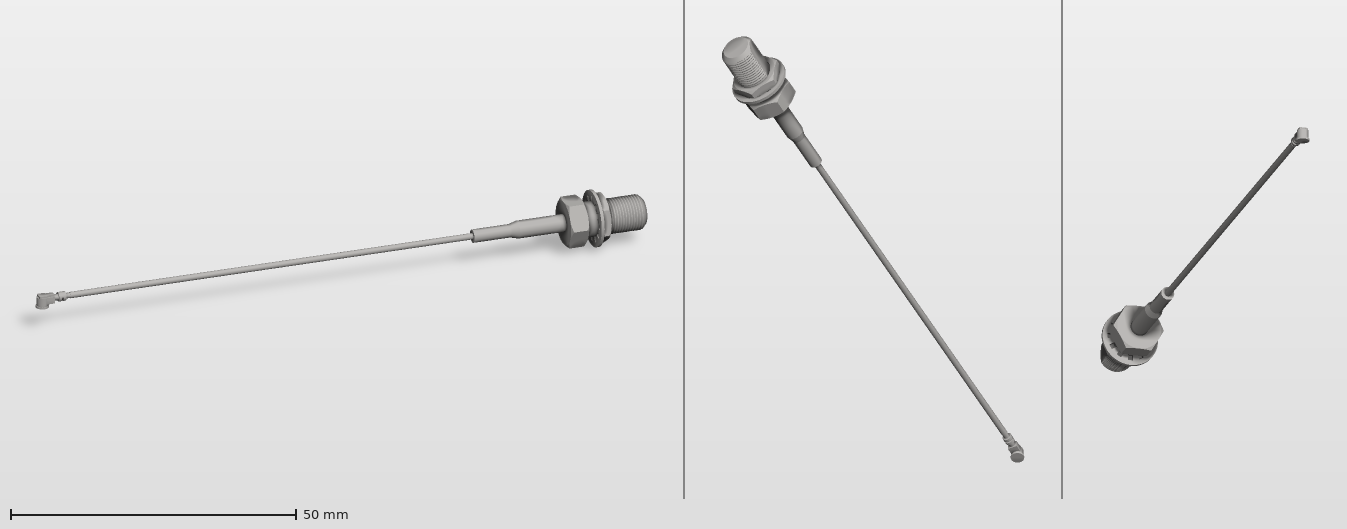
import cadquery as cq
import math

TOTAL_LENGTH = 113.2
FRONT_Y = TOTAL_LENGTH / 2
REAR_Y = -TOTAL_LENGTH / 2

THREAD_MAJOR_D = 6.3
THREAD_MINOR_D = 6.0
THREAD_PITCH = 0.51
THREAD_COUNT = 18
CREST_WIDTH = THREAD_PITCH / 4
NOSE_CHAMFER = 0.8
FLAT_OFFSET = 2.6
BARREL_LENGTH = 11.4
HEX_ACROSS_FLATS = 8.0
HEX_ACROSS_CORNERS = HEX_ACROSS_FLATS / math.cos(math.pi / 6)
HEX_CHAMFER_ANGLE = 30.0
SHOULDER_LENGTH = 3.4

NUT_SETBACK = 7.2
NUT_THICKNESS = 1.7
NUT_ANGLE = 38.0
WASHER_D = 10.2
WASHER_THICKNESS = 0.6
WASHER_SLOTS = 12
WASHER_SLOT_WIDTH = 0.9
WASHER_SLOT_ROOT_D = 8.4

FERRULE_D = 3.2
FERRULE_LENGTH = 8.6
TAPER_LENGTH = 1.5
SLEEVE_D = 2.4
SLEEVE_LENGTH = 6.9
JACKET_D = 1.1
CORE_D = 1.0
JACKET_END_SETBACK = 6.3

LIP_D = 2.4
LIP_HEIGHT = 0.3
SOCKET_D = 2.0
PLUG_TOP_Z = 0.8
PLUG_BOTTOM_Z = -1.5
COVER_WIDTH = 1.6
COVER_LENGTH = 1.5
COVER_THICKNESS = 0.3
COVER_STRIP_WIDTH = 1.0
NECK_WIDTH = 1.7
NECK_BOTTOM_Z = -0.8
NECK_SETBACK = 3.3
BRIDGE_D = 1.1
CRIMP_D = 1.7
CRIMP_LENGTH = 1.4
CRIMP_SETBACK = 5.4
CRIMP_SLOT_WIDTH = 0.3
CRIMP_SLOT_TOP_Z = 0.1

BARREL_END_Y = FRONT_Y - BARREL_LENGTH
SHOULDER_END_Y = BARREL_END_Y - SHOULDER_LENGTH
NUT_Y = FRONT_Y - NUT_SETBACK
WASHER_Y = NUT_Y - NUT_THICKNESS
WASHER_END_Y = WASHER_Y - WASHER_THICKNESS
FERRULE_END_Y = SHOULDER_END_Y - FERRULE_LENGTH
SLEEVE_Y = FERRULE_END_Y - TAPER_LENGTH
SLEEVE_END_Y = SLEEVE_Y - SLEEVE_LENGTH
JACKET_END_Y = REAR_Y + JACKET_END_SETBACK
CRIMP_Y = REAR_Y + CRIMP_SETBACK
CRIMP_END_Y = CRIMP_Y - CRIMP_LENGTH
NECK_Y = REAR_Y + NECK_SETBACK
PLUG_Y = REAR_Y + LIP_D / 2


def rod(diameter, y_start, y_end):
    """Cylinder on the Y axis from y_start down to y_end."""
    return (cq.Workplane("XZ", origin=(0, y_start, 0))
            .circle(diameter / 2).extrude(y_start - y_end))


def turned(outline):
    """Solid of revolution about the Y axis from a closed outline of (radius, y) points."""
    return cq.Workplane("XY").polyline(outline).close().revolve(360, (0, 0), (0, 1))


def block(width, y_start, y_end, z_bottom, z_top):
    """Box centred on X = 0, from y_start down to y_end."""
    return cq.Workplane("XY").box(width, y_start - y_end, z_top - z_bottom).translate(
        (0, (y_start + y_end) / 2, (z_bottom + z_top) / 2))


def disc(diameter, z_bottom, z_top):
    """Cylinder standing along Z on the plug axis."""
    return (cq.Workplane("XY", origin=(0, PLUG_Y, z_bottom))
            .circle(diameter / 2).extrude(z_top - z_bottom))


def hex_block(y_start, length, corner_angle):
    """Hexagonal prism whose corners are turned off conically at both ends."""
    prism = (cq.Workplane("XZ", origin=(0, y_start, 0))
             .transformed(rotate=(0, 0, corner_angle))
             .polygon(6, HEX_ACROSS_CORNERS).extrude(length))
    face_r = HEX_ACROSS_FLATS / 2
    corner_r = HEX_ACROSS_CORNERS / 2
    drop = (corner_r - face_r) * math.tan(math.radians(HEX_CHAMFER_ANGLE))
    y_end = y_start - length
    blank = turned([(0, y_end), (face_r, y_end), (corner_r, y_end + drop),
                    (corner_r, y_start - drop), (face_r, y_start), (0, y_start)])
    return prism.intersect(blank)


def make_barrel():
    """Barrel with V-shaped thread grooves, a chamfered nose and a flat along its -X side."""
    major_r = THREAD_MAJOR_D / 2
    minor_r = THREAD_MINOR_D / 2
    outline = [(0, FRONT_Y), (major_r, FRONT_Y)]
    for groove in range(THREAD_COUNT):
        crest_y = FRONT_Y - groove * THREAD_PITCH
        outline.append((major_r, crest_y - CREST_WIDTH))
        outline.append((minor_r, crest_y - (THREAD_PITCH + CREST_WIDTH) / 2))
        outline.append((major_r, crest_y - THREAD_PITCH))
    outline += [(major_r, BARREL_END_Y), (0, BARREL_END_Y)]
    nose = rod(THREAD_MAJOR_D, FRONT_Y, BARREL_END_Y).faces(">Y").chamfer(NOSE_CHAMFER)
    flatted = cq.Workplane("XY").box(THREAD_MAJOR_D, BARREL_LENGTH, THREAD_MAJOR_D).translate(
        (major_r - FLAT_OFFSET, (FRONT_Y + BARREL_END_Y) / 2, 0))
    return turned(outline).intersect(nose).intersect(flatted)


def make_connector():
    return make_barrel().union(hex_block(BARREL_END_Y, SHOULDER_LENGTH, 0))


def make_nut():
    return hex_block(NUT_Y, NUT_THICKNESS, NUT_ANGLE).cut(rod(THREAD_MAJOR_D, NUT_Y, WASHER_Y))


def make_washer():
    """Lock washer whose bore is divided into teeth by radial slots."""
    ring = rod(WASHER_D, WASHER_Y, WASHER_END_Y).cut(rod(THREAD_MAJOR_D, WASHER_Y, WASHER_END_Y))
    slots = (cq.Workplane("XZ", origin=(0, WASHER_Y, 0))
             .polarArray(WASHER_SLOT_ROOT_D / 4, 0, 360, WASHER_SLOTS)
             .rect(WASHER_SLOT_ROOT_D / 2, WASHER_SLOT_WIDTH).extrude(WASHER_THICKNESS))
    return ring.cut(slots)


def make_ferrule():
    """Ferrule behind the shoulder, tapering down to the sleeve diameter."""
    return turned([(0, SHOULDER_END_Y), (FERRULE_D / 2, SHOULDER_END_Y),
                   (FERRULE_D / 2, FERRULE_END_Y), (SLEEVE_D / 2, SLEEVE_Y), (0, SLEEVE_Y)])


def make_sleeve():
    """Tube around the end of the cable jacket."""
    return rod(SLEEVE_D, SLEEVE_Y, SLEEVE_END_Y).cut(rod(JACKET_D, SLEEVE_Y, SLEEVE_END_Y))


def make_cable():
    """Jacketed cable with its stripped core running through the crimp."""
    return rod(JACKET_D, SLEEVE_Y, JACKET_END_Y).union(rod(CORE_D, JACKET_END_Y, CRIMP_END_Y))


def make_plug_shell():
    """Round socket with a lip, a neck towards the cable, and a slotted crimp barrel."""
    cover_z = PLUG_TOP_Z - COVER_THICKNESS
    lip_top_z = PLUG_BOTTOM_Z + LIP_HEIGHT
    shell = disc(LIP_D, PLUG_BOTTOM_Z, lip_top_z).union(disc(SOCKET_D, lip_top_z, cover_z))
    shell = shell.union(block(NECK_WIDTH, NECK_Y, PLUG_Y, NECK_BOTTOM_Z, cover_z))
    cover = block(COVER_WIDTH, PLUG_Y + COVER_LENGTH / 2, PLUG_Y - COVER_LENGTH / 2, cover_z, PLUG_TOP_Z)
    shell = shell.union(cover.intersect(disc(SOCKET_D, cover_z, PLUG_TOP_Z)))
    shell = shell.union(block(COVER_STRIP_WIDTH, NECK_Y, PLUG_Y, cover_z, PLUG_TOP_Z))
    crimp_slot = block(CRIMP_D, CRIMP_Y - (CRIMP_LENGTH - CRIMP_SLOT_WIDTH) / 2,
                       CRIMP_END_Y + (CRIMP_LENGTH - CRIMP_SLOT_WIDTH) / 2,
                       -CRIMP_D / 2, CRIMP_SLOT_TOP_Z)
    crimp = rod(CRIMP_D, CRIMP_Y, CRIMP_END_Y).cut(crimp_slot).cut(rod(CORE_D, CRIMP_Y, CRIMP_END_Y))
    return shell.union(rod(BRIDGE_D, CRIMP_END_Y, PLUG_Y)).union(crimp)


connector = make_connector()
nut = make_nut()
washer = make_washer()
ferrule = make_ferrule()
sleeve = make_sleeve()
cable = make_cable()
plug_shell = make_plug_shell()

result = cq.Compound.makeCompound([
    connector.solids().val(),
    nut.solids().val(),
    washer.solids().val(),
    ferrule.solids().val(),
    sleeve.solids().val(),
    cable.solids().val(),
    plug_shell.solids().val(),
])